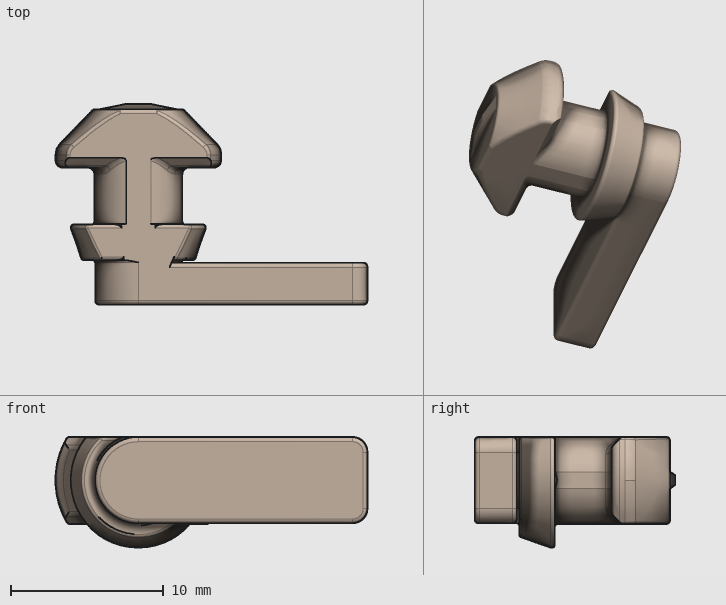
import cadquery as cq
import math


LEVER_HALF_WIDTH = 2.83
LEVER_TIP_X = 15.0
LEVER_THICKNESS = 2.76
LEVER_TIP_RADIUS = 1.0
LEVER_EDGE_FILLET = 0.3

TOP_Z = LEVER_HALF_WIDTH
BOTTOM_Z = -2.88

SHAFT_RADIUS = 2.94
SHAFT_HALF_WIDTH = 2.89

FLANGE_FRONT_Y = 2.92
FLANGE_BACK_Y = 5.26
FLANGE_FRONT_RADIUS = 3.7
FLANGE_BACK_RADIUS = 4.515
FLANGE_EDGE_FILLET = 0.22
FLANGE_FLARE = 0.15

WEB_LEVER_X = 2.04
WEB_FLANGE_X = 2.35

HEAD_FRONT_Y = 8.97
HEAD_BACK_Y = 12.8
HEAD_RADIUS = 5.43
HEAD_CONE_Y = 10.22
HEAD_END_RADIUS = 2.93
HEAD_CONE_FILLET = 1.0
HEAD_FRONT_CHAMFER = 0.65
HEAD_FRONT_FILLET = 0.5
HEAD_FLAT_FILLET = 0.28
HEAD_ROOT_FILLET = 0.4

RIDGE_TOP_Y = 13.15
RIDGE_TOP_HALF_LENGTH = 0.79
RIDGE_BASE_HALF_LENGTH = 2.5
RIDGE_TOP_HALF_WIDTH = 0.3
RIDGE_BASE_HALF_WIDTH = 0.55
RIDGE_EMBED = 0.3

REACH = 20.0
CLEARANCE = 0.02


def block(x_range, y_range, z_range):
    """Box given by its limits along each axis."""
    limits = (x_range, y_range, z_range)
    size = [high - low for low, high in limits]
    corner = tuple(low for low, high in limits)
    return cq.Workplane("XY").box(*size, centered=False).translate(corner)


BELOW_TOP = block((-REACH, REACH), (0, REACH), (-REACH, TOP_Z))


def edges_between_y(y_min, y_max):
    """Selector for edges whose centres lie between two Y positions."""
    return cq.selectors.BoxSelector((-REACH, y_min, -REACH), (REACH, y_max, REACH))


def turned(outline):
    """Revolve an outline of (radius, y) points about the Y axis."""
    return cq.Workplane("XY").polyline(outline).close().revolve(360, (0, 0, 0), (0, 1, 0))


def turned_frustum(y_start, radius_start, y_end, radius_end):
    return turned([(0, y_start), (radius_start, y_start), (radius_end, y_end), (0, y_end)])


def make_lever():
    z_range = (-LEVER_HALF_WIDTH, LEVER_HALF_WIDTH)
    bar = block((0, LEVER_TIP_X), (0, LEVER_THICKNESS), z_range)
    bar = bar.edges("|Y and >X").fillet(LEVER_TIP_RADIUS)
    bar = bar.faces(">Y").edges("not <X").fillet(LEVER_EDGE_FILLET)
    hub = turned_frustum(0, LEVER_HALF_WIDTH, FLANGE_FRONT_Y, LEVER_HALF_WIDTH)
    lever = bar.union(hub)
    return lever.faces("<Y").edges().fillet(LEVER_EDGE_FILLET)


def make_shaft():
    shaft_start_y = (FLANGE_FRONT_Y + FLANGE_BACK_Y) / 2
    shaft_end_y = HEAD_FRONT_Y + HEAD_FRONT_CHAMFER + HEAD_ROOT_FILLET
    shaft = turned_frustum(shaft_start_y, SHAFT_RADIUS, shaft_end_y, SHAFT_RADIUS)
    sides = (-SHAFT_HALF_WIDTH, SHAFT_HALF_WIDTH)
    return shaft.intersect(block(sides, (0, REACH), (BOTTOM_Z, TOP_Z)))


def make_flange_core():
    """Round core through the flange that flares into both of its faces."""
    flare_middle = FLANGE_FLARE * (1 - math.sqrt(0.5))
    front_flare_y = FLANGE_FRONT_Y - FLANGE_FLARE
    back_flare_y = FLANGE_BACK_Y + FLANGE_FLARE
    core = (
        cq.Workplane("XY")
        .moveTo(0, front_flare_y)
        .lineTo(LEVER_HALF_WIDTH, front_flare_y)
        .threePointArc(
            (LEVER_HALF_WIDTH + flare_middle, FLANGE_FRONT_Y - flare_middle),
            (LEVER_HALF_WIDTH + FLANGE_FLARE, FLANGE_FRONT_Y),
        )
        .lineTo(SHAFT_HALF_WIDTH + FLANGE_FLARE, FLANGE_BACK_Y)
        .threePointArc(
            (SHAFT_HALF_WIDTH + flare_middle, FLANGE_BACK_Y + flare_middle),
            (SHAFT_HALF_WIDTH, back_flare_y),
        )
        .lineTo(0, back_flare_y)
        .close()
        .revolve(360, (0, 0, 0), (0, 1, 0))
    )
    return core.intersect(BELOW_TOP)


def make_flange():
    flange = turned_frustum(FLANGE_FRONT_Y, FLANGE_FRONT_RADIUS, FLANGE_BACK_Y, FLANGE_BACK_RADIUS)
    flange = flange.intersect(BELOW_TOP)
    flange = flange.edges().fillet(FLANGE_EDGE_FILLET)
    return flange.union(make_flange_core())


def make_web():
    """Web that carries the lever up to the flange on the side of the lever arm."""
    start_y = LEVER_THICKNESS - LEVER_EDGE_FILLET
    end_y = FLANGE_FRONT_Y + FLANGE_EDGE_FILLET
    outline = [(0, start_y), (WEB_LEVER_X, start_y), (WEB_FLANGE_X, end_y), (0, end_y)]
    return cq.Workplane("XY").polyline(outline).close().extrude(LEVER_HALF_WIDTH, both=True)


def is_root_edge(edge):
    """The shaft meets the head along curves and, on its side flats, along lines at mid height."""
    return edge.geomType() != "LINE" or abs(edge.Center().z) < CLEARANCE


def make_head_and_shaft():
    head = turned([
        (0, HEAD_FRONT_Y),
        (HEAD_RADIUS, HEAD_FRONT_Y),
        (HEAD_RADIUS, HEAD_CONE_Y),
        (HEAD_END_RADIUS, HEAD_BACK_Y),
        (0, HEAD_BACK_Y),
    ])
    head = head.edges(edges_between_y(HEAD_CONE_Y - CLEARANCE, HEAD_CONE_Y + CLEARANCE))
    head = head.fillet(HEAD_CONE_FILLET)
    head = head.intersect(block((-REACH, REACH), (0, REACH), (BOTTOM_Z, TOP_Z)))
    head = head.faces("<Y").edges("|X").chamfer(HEAD_FRONT_CHAMFER)
    head = head.faces("<Y").edges().fillet(HEAD_FRONT_FILLET)

    chamfer_end_y = HEAD_FRONT_Y + HEAD_FRONT_CHAMFER
    body = head.union(make_shaft())
    around_shaft = cq.selectors.BoxSelector(
        (-SHAFT_RADIUS, HEAD_FRONT_Y - CLEARANCE, -SHAFT_RADIUS),
        (SHAFT_RADIUS, chamfer_end_y + CLEARANCE, SHAFT_RADIUS),
    )
    root_edges = body.edges(around_shaft).filter(is_root_edge)
    body = root_edges.fillet(HEAD_ROOT_FILLET)

    flat_outline = edges_between_y(chamfer_end_y + CLEARANCE, HEAD_BACK_Y + CLEARANCE)
    body = body.faces("<Z or >Z").edges(flat_outline).fillet(HEAD_FLAT_FILLET)
    return body.faces(">Y").edges().fillet(HEAD_FLAT_FILLET)


def ridge_section(plane, base_half, top_half):
    """Trapezoid across the end of the head; plane has Y as its second axis."""
    foot_y = HEAD_BACK_Y - RIDGE_EMBED
    return cq.Workplane(plane).polyline([
        (-base_half, foot_y),
        (base_half, foot_y),
        (base_half, HEAD_BACK_Y),
        (top_half, RIDGE_TOP_Y),
        (-top_half, RIDGE_TOP_Y),
        (-base_half, HEAD_BACK_Y),
    ]).close()


def make_ridge():
    lengthwise = ridge_section("XY", RIDGE_BASE_HALF_LENGTH, RIDGE_TOP_HALF_LENGTH)
    crosswise = ridge_section("ZY", RIDGE_BASE_HALF_WIDTH, RIDGE_TOP_HALF_WIDTH)
    ridge = lengthwise.extrude(RIDGE_BASE_HALF_WIDTH, both=True)
    return ridge.intersect(crosswise.extrude(RIDGE_BASE_HALF_LENGTH, both=True))


result = make_lever()
for part in (make_web(), make_flange(), make_head_and_shaft(), make_ridge()):
    result = result.union(part)